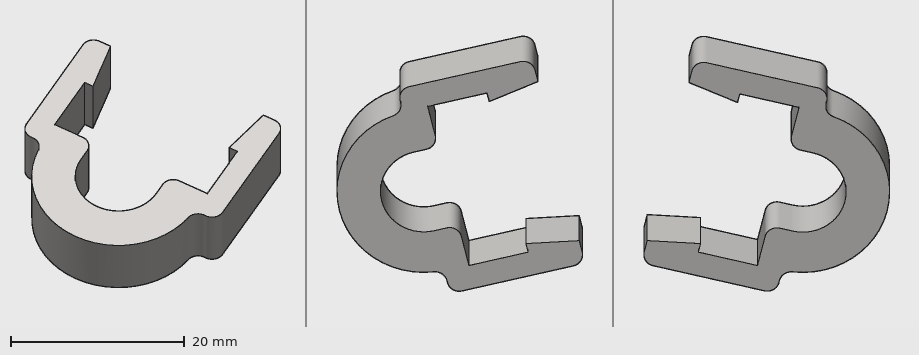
import cadquery as cq

width = 26.0
thickness = 8.0
outer_radius = 10.0
seat_radius = 5.0
arm_top = 16.0
corner_radius = 1.4

pocket_half_width = 10.11
pocket_floor = 2.9
hook_tip_half_gap = 9.02
hook_ledge = 9.93

half_width = width / 2


def clip_profile():
    """Closed outline, counter-clockwise from the left end of the round body."""
    return (
        cq.Workplane("XY")
        .moveTo(-outer_radius, 0)
        .threePointArc((0, -outer_radius), (outer_radius, 0))
        .lineTo(half_width, 0)
        .lineTo(half_width, arm_top)
        .lineTo(pocket_half_width, arm_top)
        .lineTo(hook_tip_half_gap, hook_ledge)
        .lineTo(pocket_half_width, hook_ledge)
        .lineTo(pocket_half_width, pocket_floor)
        .lineTo(seat_radius, pocket_floor)
        .lineTo(seat_radius, 0)
        .threePointArc((0, -seat_radius), (-seat_radius, 0))
        .lineTo(-seat_radius, pocket_floor)
        .lineTo(-pocket_half_width, pocket_floor)
        .lineTo(-pocket_half_width, hook_ledge)
        .lineTo(-hook_tip_half_gap, hook_ledge)
        .lineTo(-pocket_half_width, arm_top)
        .lineTo(-half_width, arm_top)
        .lineTo(-half_width, 0)
        .close()
    )


def round_corners(body):
    """Fillet the outer arm corners, the seat mouth and the necks under the arms."""
    rounded_corners = [
        (half_width, arm_top),
        (half_width, 0),
        (outer_radius, 0),
        (seat_radius, pocket_floor),
    ]
    corner_edges = []
    for x, y in rounded_corners:
        for side in (-1, 1):
            nearest = cq.selectors.NearestToPointSelector((side * x, y, thickness / 2))
            corner_edges.append(body.edges("|Z").edges(nearest).val())
    return body.newObject(corner_edges).fillet(corner_radius)


result = round_corners(clip_profile().extrude(thickness))